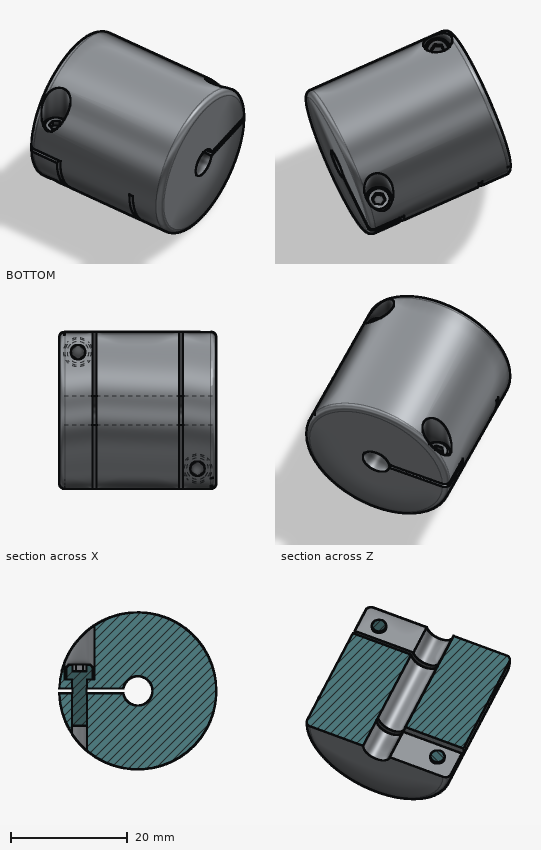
import cadquery as cq
import math

body_diameter = 27.0
body_length = 27.0
rim_fillet = 1.0
bore_diameter = 5.0

slit_width = 0.8
relief_width = 0.75
relief_inner_x = 7.05

screw_x = 10.25
screw_y = 10.0
shank_diameter = 2.5
shank_length = 8.0
head_diameter = 4.5
head_height = 2.5
head_chamfer = 0.4
hex_across_flats = 2.0
hex_corner_count = 6
hex_depth = 1.1
socket_turn = 90.0
counterbore_diameter = 5.0
head_seat_z = 2.0

body_radius = body_diameter / 2
half_length = body_length / 2

SIDES = (-1, 1)


def make_sleeve():
    """Round sleeve with rounded rims and a bore right through."""
    return (
        cq.Workplane("YZ", origin=(-half_length, 0, 0))
        .circle(body_radius)
        .extrude(body_length)
        .faces("<X or >X")
        .edges()
        .fillet(rim_fillet)
        .cut(
            cq.Workplane("YZ", origin=(-half_length, 0, 0))
            .circle(bore_diameter / 2)
            .extrude(body_length)
        )
    )


def make_slit(side):
    """Level cut from the bore axis out to the clamping side, as deep as the cross cut."""
    slit_length = half_length - relief_inner_x
    return cq.Workplane("XY").box(slit_length, body_radius, slit_width).translate(
        (side * (relief_inner_x + slit_length / 2), side * body_radius / 2, 0)
    )


def make_relief_cut(side):
    """Cross cut that frees the lower half of the hub behind the clamp."""
    return cq.Workplane("XY").box(relief_width, body_diameter, body_radius).translate(
        (side * (relief_inner_x + relief_width / 2), 0, -body_radius / 2)
    )


def make_screw_hole(side):
    """Shank hole through the whole hub, with a counterbore open to the top."""
    center = (side * screw_x, side * screw_y)
    shank_hole = (
        cq.Workplane("XY", origin=(*center, -body_radius))
        .circle(shank_diameter / 2)
        .extrude(body_diameter)
    )
    counterbore = (
        cq.Workplane("XY", origin=(*center, head_seat_z))
        .circle(counterbore_diameter / 2)
        .extrude(body_radius)
    )
    return shank_hole.union(counterbore)


def make_coupling_body():
    """Sleeve with a slit, a cross cut and a screw hole in each hub."""
    body = make_sleeve()
    for side in SIDES:
        body = body.cut(make_slit(side))
        body = body.cut(make_relief_cut(side))
        body = body.cut(make_screw_hole(side))
    return body


def make_clamp_screw(side):
    """Cap screw with a hex socket; its shank fills the hole below the head."""
    center = (side * screw_x, side * screw_y)
    head_top_z = head_seat_z + head_height
    hex_across_corners = hex_across_flats / math.cos(math.pi / hex_corner_count)
    head = (
        cq.Workplane("XY", origin=(*center, head_seat_z))
        .circle(head_diameter / 2)
        .extrude(head_height)
        .faces(">Z")
        .edges()
        .chamfer(head_chamfer)
    )
    hex_socket = (
        cq.Workplane("XY", origin=(*center, head_top_z))
        .transformed(rotate=(0, 0, socket_turn))
        .polygon(hex_corner_count, hex_across_corners)
        .extrude(-hex_depth)
    )
    shank = (
        cq.Workplane("XY", origin=(*center, head_seat_z))
        .circle(shank_diameter / 2)
        .extrude(-shank_length)
    )
    return head.cut(hex_socket).union(shank)


coupling_body = make_coupling_body()
clamp_screws = [make_clamp_screw(side) for side in SIDES]

result = cq.Compound.makeCompound(
    [coupling_body.val(), *[screw.val() for screw in clamp_screws]]
)